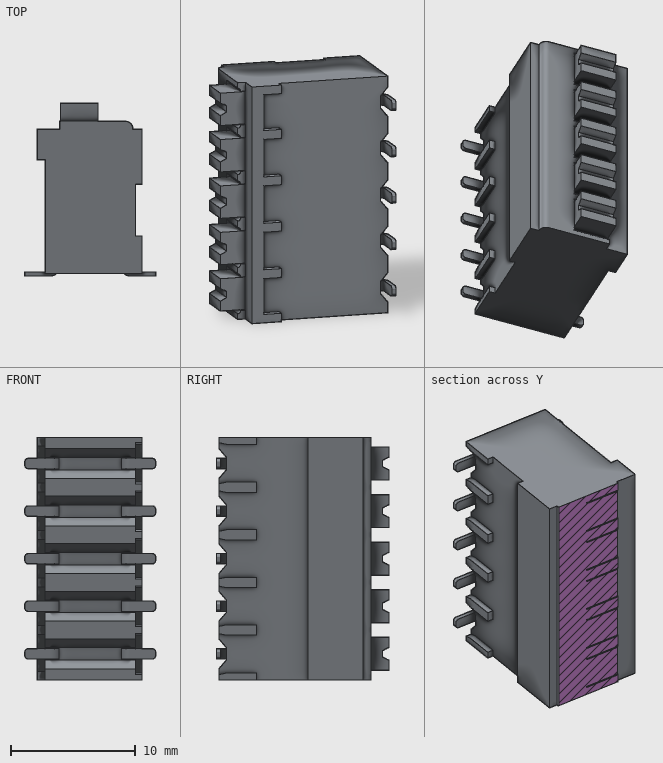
import cadquery as cq

pole_count = 5
pole_pitch = 3.81
total_height = 19.44
first_pole_z = (total_height - (pole_count - 1) * pole_pitch) / 2
pole_levels = [first_pole_z + i * pole_pitch for i in range(pole_count)]
division_levels = [first_pole_z + (i + 0.5) * pole_pitch for i in range(pole_count - 1)]

wall_left = -3.62
wall_right = 3.64
flange_left = -4.25
flange_right = 4.15
base_y = 0.2
shoulder_y = 11.77
crown_y = 12.41
crown_left = -2.45
crown_right = 3.42
crown_corner_radius = 0.6

left_rib_start_y = 9.31
left_band_start_y = 10.77
left_rib_width = 0.73
left_end_rib_width = 0.7

tab_end_y = 3.22
tab_lead_in_length = 0.6
tab_tip_width = 0.57
tab_full_width = 0.83
end_tab_tip_width = 0.43
right_flange_start_y = 7.36

groove_depth = 0.6
groove_floor_width = 1.0
groove_mouth_width = 2.4

lever_left = -2.39
lever_right = 0.63
lever_width = 2.66
lever_top_y = 13.85
lever_notch_depth = 0.53
lever_notch_mouth = 1.04
lever_notch_floor = 0.5
pocket_clearance = 0.05
pocket_edge_radius = 0.25

pin_span = 10.5
pin_thickness = 0.35
pin_width = 0.85
pin_tip_radius = 0.3
pin_leg_inner_x = 2.5
pin_bend_radius = 0.7
pin_embedded_length = 0.3
pin_root_y = base_y + groove_depth + pin_embedded_length


def box(x_range, y_range, z_range):
    """Axis-aligned block between pairs of limits."""
    sizes = [end - start for start, end in (x_range, y_range, z_range)]
    corner = (x_range[0], y_range[0], z_range[0])
    return cq.Workplane("XY").box(*sizes, centered=False).translate(corner)


def make_left_rib(bottom, top):
    """Short rib below the band on the -X wall."""
    return box((flange_left, wall_left), (left_rib_start_y, left_band_start_y), (bottom, top))


def make_tab(bottom, top, bottom_flare, top_flare):
    """Tab on the foot of the +X wall, widening by the given flares along its lead-in."""
    full_width_y = base_y + tab_lead_in_length
    profile = [
        (base_y, bottom),
        (full_width_y, bottom - bottom_flare),
        (tab_end_y, bottom - bottom_flare),
        (tab_end_y, top + top_flare),
        (full_width_y, top + top_flare),
        (base_y, top),
    ]
    tab = cq.Workplane("YZ").polyline(profile).close().extrude(flange_right - wall_right)
    return tab.translate((wall_right, 0, 0))


def make_housing():
    full_height = (0, total_height)
    core = box((wall_left, wall_right), (base_y, shoulder_y), full_height)
    crown = box((crown_left, crown_right), (shoulder_y, crown_y), full_height)
    crown = crown.edges("|Z and >X and >Y").fillet(crown_corner_radius)
    left_band = box((flange_left, wall_left), (left_band_start_y, shoulder_y), full_height)
    right_flange = box((wall_right, flange_right), (right_flange_start_y, shoulder_y), full_height)
    housing = core.union(crown).union(left_band).union(right_flange)
    return housing.union(make_wall_details())


def make_wall_details():
    """Ribs and tabs at both ends of the housing and between neighbouring poles."""
    flare = (tab_full_width - tab_tip_width) / 2
    details = make_left_rib(0, left_end_rib_width)
    details = details.union(make_left_rib(total_height - left_end_rib_width, total_height))
    details = details.union(make_tab(0, end_tab_tip_width, 0, flare))
    details = details.union(make_tab(total_height - end_tab_tip_width, total_height, flare, 0))
    for level in division_levels:
        half_rib = left_rib_width / 2
        half_tab = tab_tip_width / 2
        details = details.union(make_left_rib(level - half_rib, level + half_rib))
        details = details.union(make_tab(level - half_tab, level + half_tab, flare, flare))
    return details


def make_groove(level):
    """Trapezoidal groove across the base, widest at the mouth."""
    floor_y = base_y + groove_depth
    half_mouth = groove_mouth_width / 2
    half_floor = groove_floor_width / 2
    profile = [
        (base_y, level - half_mouth),
        (floor_y, level - half_floor),
        (floor_y, level + half_floor),
        (base_y, level + half_mouth),
    ]
    groove = cq.Workplane("YZ").polyline(profile).close().extrude(wall_right - wall_left)
    return groove.translate((wall_left, 0, 0))


def make_pocket(level):
    """Crown opening for one lever, with its long edges rounded outward."""
    half = lever_width / 2 + pocket_clearance
    radius = pocket_edge_radius
    bend_y = crown_y - radius
    profile = (
        cq.Workplane("YZ")
        .moveTo(shoulder_y, level - half)
        .lineTo(bend_y, level - half)
        .radiusArc((crown_y, level - half - radius), -radius)
        .lineTo(crown_y, level + half + radius)
        .radiusArc((bend_y, level + half), -radius)
        .lineTo(shoulder_y, level + half)
        .close()
    )
    return profile.extrude(lever_right - crown_left).translate((crown_left, 0, 0))


def make_lever(level):
    """Push lever standing on the shoulder, with a screwdriver notch on top."""
    half = lever_width / 2
    notch_y = lever_top_y - lever_notch_depth
    profile = [
        (shoulder_y, level - half),
        (lever_top_y, level - half),
        (lever_top_y, level - lever_notch_mouth / 2),
        (notch_y, level - lever_notch_floor / 2),
        (notch_y, level + lever_notch_floor / 2),
        (lever_top_y, level + lever_notch_mouth / 2),
        (lever_top_y, level + half),
        (shoulder_y, level + half),
    ]
    lever = cq.Workplane("YZ").polyline(profile).close().extrude(lever_right - lever_left)
    return lever.translate((lever_left, 0, 0))


def make_pin(level):
    """Bent strip on the +X side: leg out of the groove floor, then a flat solder foot."""
    tip_x = pin_span / 2
    inner_radius = pin_bend_radius - pin_thickness
    bend_x = pin_leg_inner_x + pin_bend_radius
    leg_outer_x = pin_leg_inner_x + pin_thickness
    strip = (
        cq.Workplane("XY")
        .moveTo(pin_leg_inner_x, pin_root_y)
        .lineTo(pin_leg_inner_x, pin_bend_radius)
        .radiusArc((bend_x, 0), -pin_bend_radius)
        .lineTo(tip_x, 0)
        .lineTo(tip_x, pin_thickness)
        .lineTo(bend_x, pin_thickness)
        .radiusArc((leg_outer_x, pin_bend_radius), inner_radius)
        .lineTo(leg_outer_x, pin_root_y)
        .close()
        .extrude(pin_width)
    )
    strip = strip.edges("|Y and >X").fillet(pin_tip_radius)
    return strip.translate((0, 0, level - pin_width / 2))


result = make_housing()
for pole_level in pole_levels:
    right_pin = make_pin(pole_level)
    result = result.cut(make_groove(pole_level)).cut(make_pocket(pole_level))
    result = result.union(make_lever(pole_level))
    result = result.union(right_pin).union(right_pin.mirror("YZ"))